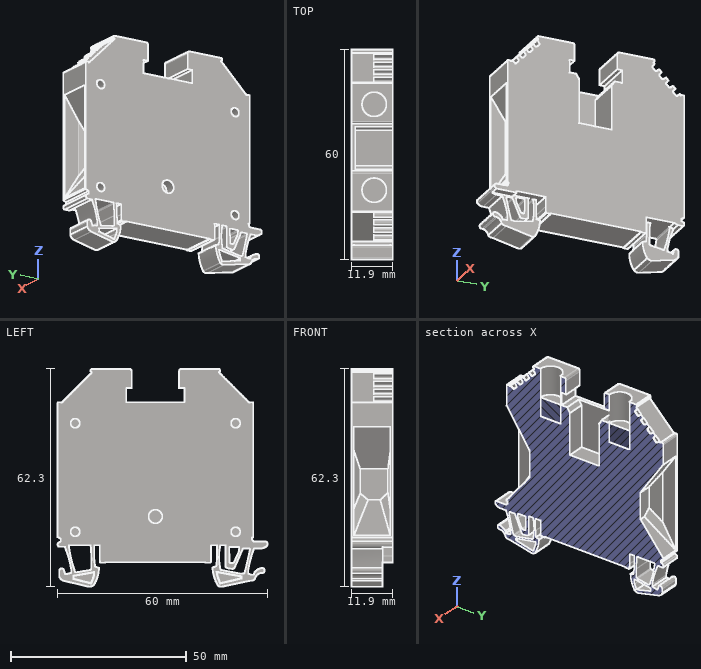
import cadquery as cq
import math


width = 11.9
foot_width = 8.95
height = 62.25
half_length = 27.95
core_bottom = 11.9
overlap = 0.6

slot_floor = 52.8
slot_half = 8.3
step_z = 56.8
tower_inner = 6.7
tower_outer = 18.55
tower_round = 0.7
lip_drop = 1.0
lip_step = 0.4
lip_chamfer = 0.3
slope_top_y = tower_outer - lip_step
slope_top_z = height - lip_drop
slope_drop = 8.65
shoulder_y = slope_top_y + slope_drop
shoulder_z = slope_top_z - slope_drop

notch_top = 14.25
notch_upper = 13.75
notch_lower = 13.0
notch_y = 27.1

block_half = 15.95
block_draft = 0.05
block_line = 8.9
block_bottom = 7.05
pad_bottom = 6.85
pad_length = 1.6
pad_chamfer = 0.25

groove_count = 4
groove_x = 6.5
groove_top = 60.9
groove_pitch = 2.2
groove_height = 1.45
groove_depth = 1.4
groove_draft = 0.2
groove_round = 0.25

funnel_wall = 0.75
funnel_top = 45.75
funnel_bottom = 14.7
funnel_depth = 8.15
funnel_straight = 4.6
funnel_back_top = 33.7
funnel_back_bottom = 24.85
funnel_back_left = 2.55
funnel_back_right = 10.45
funnel_corner_left = 4.8
funnel_corner_right = 8.3
funnel_corner_left_z = 28.25
funnel_corner_right_z = 27.6

screw_x = 6.55
screw_y = 12.25
screw_diameter = 7.0
screw_top = slot_floor
screw_length = 6.2
pin_hole_y = 22.9
pin_hole_low = 15.75
pin_hole_high = 46.75
pin_hole_diameter = 2.6
centre_hole_z = 20.1
centre_hole_diameter = 3.9
side_hole_depth = 3.75

pocket_wall = 1.1
pocket_y = -0.2
pocket_half = 5.1
pocket_mouth_half = 6.1
pocket_mouth_drop = 1.55
pocket_floor = 37.35

foot_floor = 0.95
recess_taper = 1.0
foot_round = 0.25
relief_z = 11.4
relief_y = -24.9
relief_reach = 37.35


def side_plane(x=0.0):
    """YZ work plane at the given X."""
    return cq.Workplane("YZ", origin=(x, 0, 0))


def prism(points, thickness, x=0.0):
    """Straight-sided outline in Y and Z, extruded along +X."""
    return side_plane(x).polyline(points).close().extrude(thickness)


def both_ends(shape):
    """The shape together with its mirror image at the other Y end."""
    return shape.union(shape.mirror("XZ"))


def rounded(window):
    """Window cutter with its corner edges rounded."""
    return window.edges("|X").fillet(foot_round)


def make_core():
    half = (
        side_plane()
        .moveTo(0, core_bottom)
        .lineTo(0, slot_floor)
        .lineTo(slot_half, slot_floor)
        .lineTo(slot_half, step_z)
        .lineTo(tower_inner, step_z)
        .lineTo(tower_inner, height - tower_round)
        .tangentArcPoint((tower_inner + tower_round, height), relative=False)
        .lineTo(tower_outer - lip_chamfer, height)
        .lineTo(tower_outer, height - lip_chamfer)
        .lineTo(tower_outer, height - 2 * lip_chamfer)
        .lineTo(slope_top_y, slope_top_z)
        .lineTo(shoulder_y, shoulder_z)
        .lineTo(shoulder_y + slot_floor - shoulder_z, slot_floor)
        .lineTo(half_length - lip_chamfer, slot_floor)
        .tangentArcPoint((half_length, slot_floor - lip_chamfer), relative=False)
        .lineTo(half_length, notch_top)
        .lineTo(notch_y, notch_upper)
        .lineTo(notch_y, core_bottom)
        .close()
        .extrude(width)
    )
    return both_ends(half)


def make_block():
    bottom_half = block_half - block_draft
    half = prism([
        (0, core_bottom + overlap),
        (block_half, core_bottom + overlap),
        (block_half, block_line),
        (bottom_half, pad_bottom + pad_chamfer),
        (bottom_half - pad_chamfer, pad_bottom),
        (bottom_half - pad_length, pad_bottom),
        (bottom_half - pad_length, block_bottom),
        (0, block_bottom),
    ], width)
    return both_ends(half)


def make_back_lip():
    """Small rounded lip on the +Y side."""
    return (
        side_plane()
        .moveTo(notch_y - overlap, notch_lower + overlap)
        .lineTo(notch_y, notch_lower)
        .lineTo(half_length - 0.25, 12.65)
        .threePointArc((half_length, 12.0), (27.5, 11.45))
        .lineTo(25.9, 11.45)
        .lineTo(24.7, core_bottom)
        .lineTo(24.7, notch_lower + overlap)
        .close()
        .extrude(width)
    )


def make_front_lip():
    """Long release lip on the -Y side."""
    return (
        side_plane()
        .moveTo(-25.0, 10.95)
        .lineTo(-30.25, 10.95)
        .threePointArc((-31.25, 11.25), (-31.95, 11.8))
        .threePointArc((-32.0, 12.6), (-31.4, 13.0))
        .lineTo(-28.4, 13.0)
        .threePointArc((-27.7, 13.4), (-27.75, 14.0))
        .lineTo(-25.0, 14.0)
        .close()
        .extrude(width)
    )


def make_back_foot():
    outline = (
        side_plane()
        .moveTo(25.9, core_bottom + overlap)
        .lineTo(25.9, 11.45)
        .threePointArc((24.9, 8.7), (24.0, 4.9))
        .lineTo(24.0, 4.05)
        .lineTo(25.7, 3.6)
        .lineTo(26.15, 5.0)
        .threePointArc((26.9, 5.3), (27.5, 4.6))
        .lineTo(27.5, 3.05)
        .threePointArc((27.0, 2.25), (26.3, 1.75))
        .lineTo(18.9, 0.0)
        .threePointArc((18.25, 0.1), (17.55, 0.55))
        .threePointArc((16.6, 2.4), (16.05, 5.4))
        .lineTo(17.2, 5.85)
        .lineTo(17.4, 8.1)
        .lineTo(17.4, core_bottom + overlap)
        .close()
        .extrude(foot_width)
    )
    window = (
        side_plane()
        .moveTo(24.7, core_bottom)
        .threePointArc((24.0, 8.1), (22.85, 4.2))
        .lineTo(18.35, 4.9)
        .lineTo(18.3, 8.1)
        .lineTo(18.5, core_bottom)
        .close()
        .extrude(foot_width)
    )
    recess = [(23.4, 3.25), (17.4, 4.3), (17.55, 2.85), (18.3, 0.95), (23.4, 2.25)]
    return cut_recess(outline.cut(rounded(window)), recess)


def make_front_foot():
    outline = (
        side_plane()
        .moveTo(-17.55, core_bottom + overlap)
        .lineTo(-17.55, 8.2)
        .lineTo(-17.35, 6.0)
        .lineTo(-16.25, 5.55)
        .threePointArc((-16.8, 2.6), (-17.75, 0.5))
        .threePointArc((-18.25, 0.1), (-18.85, 0.0))
        .lineTo(-27.1, 1.75)
        .threePointArc((-28.0, 1.9), (-28.45, 2.3))
        .threePointArc((-29.1, 3.4), (-30.0, 3.9))
        .lineTo(-30.55, 3.9)
        .threePointArc((-31.2, 4.7), (-30.45, 5.5))
        .threePointArc((-29.25, 5.05), (-28.25, 4.2))
        .lineTo(-28.1, 3.55)
        .lineTo(-27.4, 3.55)
        .lineTo(-26.6, 3.8)
        .lineTo(-26.6, 5.1)
        .threePointArc((-27.3, 8.4), (-28.2, 10.95))
        .lineTo(-28.2, core_bottom + overlap)
        .close()
        .extrude(foot_width)
    )
    window = (
        side_plane()
        .moveTo(-18.55, core_bottom)
        .lineTo(-20.0, core_bottom)
        .lineTo(-20.0, 5.65)
        .lineTo(-20.6, 5.3)
        .lineTo(-22.05, 5.1)
        .lineTo(-22.6, 5.4)
        .lineTo(-25.0, 10.95)
        .lineTo(-27.0, 10.95)
        .threePointArc((-26.3, 7.5), (-25.4, 3.9))
        .lineTo(-24.4, 3.8)
        .lineTo(-18.6, 4.9)
        .threePointArc((-18.25, 7.8), (-18.55, core_bottom))
        .close()
        .extrude(foot_width)
    )
    latch_window = (
        side_plane()
        .moveTo(-21.1, 11.4)
        .lineTo(-23.9, 11.4)
        .lineTo(-23.85, 10.15)
        .lineTo(-22.4, 7.05)
        .lineTo(-22.05, 6.85)
        .lineTo(-21.2, 6.85)
        .close()
        .extrude(foot_width)
    )
    recess = [(-24.7, 3.05), (-17.4, 4.35), (-17.6, 3.25), (-18.4, 0.95), (-24.7, 2.4)]
    return cut_recess(outline.cut(rounded(window)).cut(rounded(latch_window)), recess)


def cut_recess(foot, points):
    """Cut a slightly tapered blind recess into the -X side of a foot."""
    depth = foot_width - foot_floor
    recess = side_plane().polyline(points).close().extrude(depth, taper=recess_taper)
    return foot.cut(recess)


def make_grooves():
    across = math.sqrt(0.5)
    inward = groove_depth * across
    lean = groove_draft * across
    outward = overlap * across
    grooves = None
    for number in range(groove_count):
        top_z = groove_top - number * groove_pitch
        top_y = slope_top_y + slope_top_z - top_z
        low_z = top_z - groove_height
        low_y = top_y + groove_height
        groove = prism([
            (top_y + outward, top_z + outward),
            (low_y + outward, low_z + outward),
            (low_y - inward - lean, low_z - inward + lean),
            (top_y - inward + lean, top_z - inward - lean),
        ], width - groove_x, groove_x)
        groove = groove.faces("<(0, 1, 1)").edges("|X").fillet(groove_round)
        grooves = groove if grooves is None else grooves.union(groove)
    return both_ends(grooves)


def tetrahedron(a, b, c, d):
    corners = [cq.Vector(*point) for point in (a, b, c, d)]
    faces = []
    for skipped in range(4):
        loop = corners[:skipped] + corners[skipped + 1:]
        faces.append(cq.Face.makeFromWires(cq.Wire.makePolygon(loop, close=True)))
    return cq.Workplane(cq.Solid.makeSolid(cq.Shell.makeShell(faces)))


def make_funnels():
    front = -half_length
    back = front + funnel_depth
    bend = front + funnel_straight
    left = funnel_wall
    right = width - funnel_wall
    side_shape = prism([
        (front, funnel_bottom),
        (front, funnel_top),
        (back, funnel_back_top),
        (back, funnel_back_bottom),
    ], width)
    plan_shape = (
        cq.Workplane("XY")
        .polyline([
            (left, front),
            (right, front),
            (right, bend),
            (funnel_back_right, back),
            (funnel_back_left, back),
            (left, bend),
        ])
        .close()
        .extrude(height)
    )
    funnel = side_shape.intersect(plan_shape)
    for wall, corner, corner_z in (
        (left, funnel_corner_left, funnel_corner_left_z),
        (right, funnel_corner_right, funnel_corner_right_z),
    ):
        facet = tetrahedron(
            (wall, front, funnel_bottom),
            (wall, back, corner_z),
            (corner, back, funnel_back_bottom),
            (wall, back, funnel_back_bottom),
        )
        funnel = funnel.cut(facet)
    return both_ends(funnel)


def make_pocket():
    mouth_z = slot_floor - pocket_mouth_drop
    return prism([
        (pocket_y - pocket_mouth_half, slot_floor),
        (pocket_y + pocket_mouth_half, slot_floor),
        (pocket_y + pocket_half, mouth_z),
        (pocket_y + pocket_half, pocket_floor),
        (pocket_y - pocket_half, pocket_floor),
        (pocket_y - pocket_half, mouth_z),
    ], width - pocket_wall, pocket_wall)


def make_side_holes():
    corners = [(y, z) for y in (-pin_hole_y, pin_hole_y) for z in (pin_hole_low, pin_hole_high)]
    pin_holes = side_plane().pushPoints(corners).circle(pin_hole_diameter / 2).extrude(side_hole_depth)
    centre_hole = (
        side_plane()
        .center(0, centre_hole_z)
        .circle(centre_hole_diameter / 2)
        .extrude(side_hole_depth)
    )
    return pin_holes.union(centre_hole)


def make_screw_holes():
    bottom = screw_top - screw_length
    return (
        cq.Workplane("XY", origin=(0, 0, bottom))
        .pushPoints([(screw_x, -screw_y), (screw_x, screw_y)])
        .circle(screw_diameter / 2)
        .extrude(height - bottom)
    )


def make_lip_relief():
    """Clearance under the release lip, beside the narrower foot."""
    return prism([
        (relief_y, 0),
        (relief_y, relief_z),
        (-relief_reach, relief_z),
        (-relief_reach, 0),
    ], width - foot_width, foot_width)


def make_housing():
    body = make_core().union(make_block())
    body = body.union(make_back_lip()).union(make_front_lip())
    body = body.union(make_back_foot()).union(make_front_foot())
    cutters = [
        make_grooves(),
        make_funnels(),
        make_pocket(),
        make_side_holes(),
        make_screw_holes(),
        make_lip_relief(),
    ]
    for cutter in cutters:
        body = body.cut(cutter)
    return body


def make_screw(y):
    """Clamping screw seated at the bottom of its access hole."""
    return (
        cq.Workplane("XY", origin=(screw_x, y, screw_top - screw_length))
        .circle(screw_diameter / 2)
        .extrude(screw_length)
    )


housing = make_housing()
screws = [make_screw(y) for y in (-screw_y, screw_y)]

result = cq.Compound.makeCompound([housing.val(), *[screw.val() for screw in screws]])